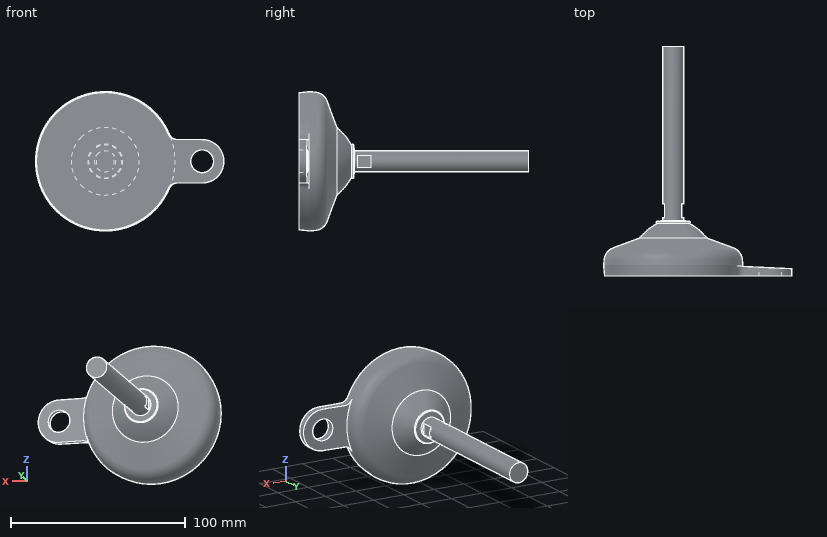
import cadquery as cq
import math


sole_radius = 39.3
rim_radius = 40.0
rim_y = 6.2
rim_top_radius = 39.7
rim_top_y = 9.2
shoulder_arc_point = (38.3, 13.3)
shoulder_radius = 34.7
shoulder_y = 16.2
neck_radius = 19.5
neck_y = 21.8
dome_base_radius = 17.9
dome_base_y = neck_y + (neck_radius - dome_base_radius)
dome_arc_point = (14.0, 27.2)
dome_top_radius = 9.5
dome_top_y = 30.1

tab_hole_x = 55.5
tab_end_radius = 12.5
tab_hole_radius = 6.5
tab_root_height = 5.7
tab_end_height = 4.3
tab_fillet = 5.0
tab_end_x = tab_hole_x + tab_end_radius

total_length = 131.5
stem_radius = 6.0
collar_radius = 10.0
collar_widest_y = 30.9
collar_edge_radius = 9.5
collar_edge_y = 31.4
stem_base_y = 31.8
flat_start_y = 33.5
flat_end_y = 41.4
flat_offset = 5.0


def revolve_about_y(profile):
    return profile.close().revolve(360, (0, 0, 0), (0, 1, 0))


def make_pad():
    return revolve_about_y(
        cq.Workplane("XY")
        .lineTo(sole_radius, 0)
        .lineTo(rim_radius, rim_y)
        .lineTo(rim_top_radius, rim_top_y)
        .threePointArc(shoulder_arc_point, (shoulder_radius, shoulder_y))
        .lineTo(neck_radius, neck_y)
        .lineTo(dome_base_radius, dome_base_y)
        .threePointArc(dome_arc_point, (dome_top_radius, dome_top_y))
        .lineTo(0, dome_top_y)
    )


def make_tab():
    outline = (
        cq.Workplane("XZ")
        .moveTo(0, tab_end_radius)
        .lineTo(tab_hole_x, tab_end_radius)
        .threePointArc((tab_end_x, 0), (tab_hole_x, -tab_end_radius))
        .lineTo(0, -tab_end_radius)
        .close()
        .extrude(-dome_top_y)
    )
    slope = (tab_root_height - tab_end_height) / (tab_end_x - rim_radius)
    wedge = (
        cq.Workplane("XY")
        .lineTo(tab_end_x, 0)
        .lineTo(tab_end_x, tab_end_height)
        .lineTo(0, tab_end_height + slope * tab_end_x)
        .close()
        .extrude(sole_radius, both=True)
    )
    return outline.intersect(wedge)


def make_foot():
    hole = (
        cq.Workplane("XZ")
        .center(tab_hole_x, 0)
        .circle(tab_hole_radius)
        .extrude(-dome_top_y)
    )
    body = make_pad().union(make_tab())
    corner_x = math.sqrt(sole_radius ** 2 - tab_end_radius ** 2)
    corner_y = tab_root_height / 2
    for side in (-1, 1):
        corner = cq.selectors.NearestToPointSelector((corner_x, corner_y, side * tab_end_radius))
        body = body.edges(corner).fillet(tab_fillet)
    return body.cut(hole)


def make_stem():
    stem = revolve_about_y(
        cq.Workplane("XY")
        .moveTo(0, dome_top_y)
        .lineTo(dome_top_radius, dome_top_y)
        .lineTo(collar_radius, collar_widest_y)
        .lineTo(collar_edge_radius, collar_edge_y)
        .lineTo(stem_radius, stem_base_y)
        .lineTo(stem_radius, total_length)
        .lineTo(0, total_length)
    )
    for side in (-1, 1):
        flat = (
            cq.Workplane("XY")
            .box(stem_radius, flat_end_y - flat_start_y, 2 * stem_radius)
            .translate((side * (flat_offset + stem_radius / 2), (flat_start_y + flat_end_y) / 2, 0))
        )
        stem = stem.cut(flat)
    return stem


foot = make_foot()
stem = make_stem()
result = cq.Compound.makeCompound([*foot.solids().vals(), *stem.solids().vals()])